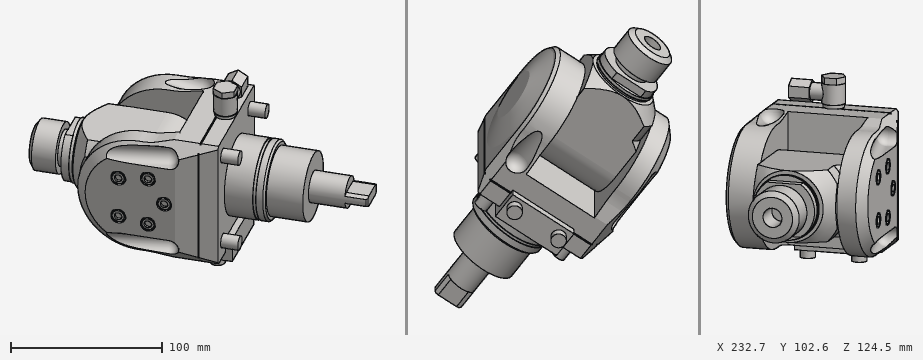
import cadquery as cq
import math


NUT_START, NUT_END = -84.5, -65.1
NUT_RADIUS, NUT_FACE_RADIUS, NUT_BEVEL_LENGTH = 17.7, 14.0, 2.8
COLLET_BORE_RADIUS, COLLET_BORE_DEPTH = 6.5, 18.5
NECK_RADIUS = 12.5
COLLAR_START, COLLAR_END, COLLAR_RADIUS, COLLAR_HALF_FLATS = -60.3, -54.7, 21.5, 18.0
SEAL_END, SEAL_RADIUS = -52.3, 22.0
STUB_RADIUS = 21.5

BLOCK_START, BLOCK_HALF_HEIGHT = -51.0, 24.5
BLOCK_CORNER_RADIUS, BLOCK_CORNER_END = 34.5, -27.7

ARM_NOSE_RADIUS = 41.9
FORK_HALF_HEIGHT = 45.4
SHOULDER_START, SHOULDER_END = 3.3, 24.0
SHOULDER_BLEND_LENGTH, SHOULDER_BLEND_RISE = 8.1, 0.7
FORK_BACK = 54.5
FRONT_FACE, REAR_FACE = -50.3, 46.8
BEVEL_SUM = 86.3
FRONT_FACE_HALF_HEIGHT = 35.0
SLOPE_START, BACK_HALF_WIDTH = 27.2, 42.5
SLOT_FRONT, SLOT_REAR, SLOT_BACK = -31.0, 24.5, 24.7
CAP_RADIUS, CAP_TOP_RADIUS, CAP_TOP = 38.0, 18.1, 52.3
SEAM_START, SEAM_WIDTH, SEAM_HALF_Y, SEAM_HALF_Z = 41.6, 0.7, 45.4, 44.7

POCKET_TILT = 12.0
POCKET_BACK, POCKET_LENGTH, POCKET_WALL_HEIGHT, POCKET_OFFSET = 28.5, 93.0, 18.5, 34.2
SIDE_POCKET_RADIUS, SIDE_POCKET_START, SIDE_POCKET_SURFACE = 6.7, -18.1, 47.0
TOP_POCKET_RADIUS, TOP_POCKET_START, TOP_POCKET_SURFACE = 8.0, -5.1, 41.9

COVER_SCREWS = [(-12.0, 14.7), (-12.0, -14.7), (8.4, 17.5), (8.4, -17.5), (19.5, 0)]
COVER_BORE_RADIUS, COVER_HEAD_RADIUS, COVER_SOCKET_RADIUS = 5.1, 4.2, 2.5
COVER_RECESS_DEPTH = 1.9

SHANK_RADIUS, SHANK_GROOVE_RADIUS = 27.7, 27.0
GROOVE_START, GROOVE_END = 74.0, 76.0
SHANK_END, SHANK_BEVEL = 82.4, 1.5
PILOT_RADIUS, PILOT_END = 24.0, 107.5
DRIVE_RADIUS, DRIVE_END = 11.0, 132.5
TANG_END, TANG_HALF_THICKNESS, TANG_HALF_FLAT = 148.2, 4.0, 7.5
TANG_EDGE_HALF_THICKNESS, TANG_TIP_BEVEL = 2.5, 1.0

BOLT_RADIUS, BOLT_END, BOLT_Y, BOLT_Z = 5.0, 66.3, 31.5, 32.8

ELBOW_X, ELBOW_RADIUS, ELBOW_NECK_RADIUS = 47.0, 8.0, 7.2
ELBOW_START, ELBOW_HEX_START, ELBOW_TOP = 48.0, 62.0, 66.3
ELBOW_HEX_RADIUS = 8.4
BRANCH_Z, BRANCH_RADIUS = 55.0, 5.8
BRANCH_NUT_START, BRANCH_NUT_END, BRANCH_NUT_RADIUS = 15.0, 29.3, 7.7

BRACKET_START, BRACKET_END, BRACKET_HALF_WIDTH = 39.3, 59.0, 25.0
BRACKET_BOTTOM, BRACKET_LIP_TOP = -52.0, -35.0
BRACKET_SCREW_RADIUS, BRACKET_SCREW_Y, BRACKET_SCREW_BOTTOM = 5.1, 18.0, -58.2


def revolve_x(profile):
    """Turn a closed (x, radius) profile about the X axis."""
    return cq.Workplane("XY").polyline(profile).close().revolve(360, (0, 0, 0), (1, 0, 0))


def rod_x(start, end, radius, y=0, z=0):
    return cq.Workplane("YZ", origin=(start, y, z)).circle(radius).extrude(end - start)


def rod_z(start, end, radius, x=0, y=0):
    return cq.Workplane("XY", origin=(x, y, start)).circle(radius).extrude(end - start)


def box_between(x0, x1, y0, y1, z0, z1):
    return cq.Workplane("XY").box(x1 - x0, y1 - y0, z1 - z0, centered=False).translate((x0, y0, z0))


def make_nose():
    """Collet nut, neck, flatted collar and seal ring."""
    nut = revolve_x([
        (NUT_START, 0),
        (NUT_START, NUT_FACE_RADIUS),
        (NUT_START + NUT_BEVEL_LENGTH, NUT_RADIUS),
        (NUT_END, NUT_RADIUS),
        (NUT_END, NECK_RADIUS),
        (COLLAR_START, NECK_RADIUS),
        (COLLAR_START, 0),
    ])
    nut = nut.cut(rod_x(NUT_START, NUT_START + COLLET_BORE_DEPTH, COLLET_BORE_RADIUS))
    collar = rod_x(COLLAR_START, COLLAR_END, COLLAR_RADIUS).intersect(
        box_between(COLLAR_START, COLLAR_END, -COLLAR_RADIUS, COLLAR_RADIUS,
                    -COLLAR_HALF_FLATS, COLLAR_HALF_FLATS))
    seal = rod_x(COLLAR_END, SEAL_END, SEAL_RADIUS)
    stub = rod_x(SEAL_END, BLOCK_START, STUB_RADIUS)
    return nut.union(collar).union(seal).union(stub)


def make_block():
    """Square block with a round tail, its front corners turned about the spindle axis."""
    half = BLOCK_HALF_HEIGHT
    body = (
        cq.Workplane("XZ", origin=(0, SLOT_REAR, 0))
        .moveTo(BLOCK_START, half)
        .lineTo(0, half)
        .threePointArc((SLOT_BACK, 0), (0, -half))
        .lineTo(BLOCK_START, -half)
        .close()
        .extrude(SLOT_REAR - SLOT_FRONT)
    )
    clear_radius = SLOT_BACK - SLOT_FRONT
    cone_length = BLOCK_CORNER_RADIUS - half
    turned = revolve_x([
        (BLOCK_START, 0),
        (BLOCK_START, half),
        (BLOCK_START + cone_length, BLOCK_CORNER_RADIUS),
        (BLOCK_CORNER_END, BLOCK_CORNER_RADIUS),
        (BLOCK_CORNER_END + clear_radius - BLOCK_CORNER_RADIUS, clear_radius),
        (SLOT_BACK + 2.3, clear_radius),
        (SLOT_BACK + 2.3, 0),
    ])
    return body.intersect(turned)


def make_fork_envelope():
    """Bevelled cross-section, turned about the pivot in front and straight behind it."""
    half_section = [
        (0, FRONT_FACE),
        (FRONT_FACE_HALF_HEIGHT, FRONT_FACE),
        (FORK_HALF_HEIGHT, FORK_HALF_HEIGHT - BEVEL_SUM),
        (FORK_HALF_HEIGHT, BEVEL_SUM - FORK_HALF_HEIGHT),
        (BEVEL_SUM - REAR_FACE, REAR_FACE),
        (0, REAR_FACE),
    ]
    turned = cq.Workplane("XY").polyline(half_section).close().revolve(360, (0, 0, 0), (0, 1, 0))
    upper = [(y, height) for height, y in half_section]
    lower = [(y, -height) for y, height in reversed(upper[1:-1])]
    straight = cq.Workplane("YZ").polyline(upper[1:-1] + lower).close().extrude(FORK_BACK)
    return turned.union(straight)


def make_fork():
    blend_end = SHOULDER_START + SHOULDER_BLEND_LENGTH
    blend_middle = SHOULDER_START + SHOULDER_BLEND_LENGTH / 2
    upper_half = (
        cq.Workplane("XZ", origin=(0, REAR_FACE, 0))
        .moveTo(-ARM_NOSE_RADIUS, 0)
        .threePointArc(
            (-ARM_NOSE_RADIUS * math.sqrt(0.5), ARM_NOSE_RADIUS * math.sqrt(0.5)),
            (0, ARM_NOSE_RADIUS))
        .lineTo(SHOULDER_START, ARM_NOSE_RADIUS)
        .threePointArc(
            (blend_middle, ARM_NOSE_RADIUS + SHOULDER_BLEND_RISE / 4),
            (blend_end, ARM_NOSE_RADIUS + SHOULDER_BLEND_RISE))
        .lineTo(SHOULDER_END, FORK_HALF_HEIGHT)
        .lineTo(FORK_BACK, FORK_HALF_HEIGHT)
        .lineTo(FORK_BACK, 0)
        .close()
        .extrude(REAR_FACE - FRONT_FACE)
    )
    side_outline = upper_half.union(upper_half.mirror("XY"))
    tapered_plan = (
        cq.Workplane("XY", origin=(0, 0, -FORK_HALF_HEIGHT))
        .polyline([
            (-ARM_NOSE_RADIUS, FRONT_FACE),
            (SLOPE_START, FRONT_FACE),
            (FORK_BACK, -BACK_HALF_WIDTH),
            (FORK_BACK, BACK_HALF_WIDTH),
            (SLOPE_START, -FRONT_FACE),
            (-ARM_NOSE_RADIUS, -FRONT_FACE),
        ])
        .close()
        .extrude(2 * FORK_HALF_HEIGHT)
    )
    cap = (
        cq.Workplane("XY")
        .polyline([(0, REAR_FACE), (CAP_RADIUS, REAR_FACE), (CAP_TOP_RADIUS, CAP_TOP), (0, CAP_TOP)])
        .close()
        .revolve(360, (0, 0, 0), (0, 1, 0))
    )
    slot = box_between(-ARM_NOSE_RADIUS - 2.3, SLOT_BACK, SLOT_FRONT, SLOT_REAR,
                       -FORK_HALF_HEIGHT, FORK_HALF_HEIGHT)
    return side_outline.intersect(make_fork_envelope()).intersect(tapered_plan).union(cap).cut(slot)


def cut_seam(body):
    """Narrow groove around the base of the fork, on its sides, top and bottom."""
    seam_end = SEAM_START + SEAM_WIDTH
    slab = box_between(SEAM_START, seam_end, FRONT_FACE, -FRONT_FACE,
                       -FORK_HALF_HEIGHT, FORK_HALF_HEIGHT)
    core = box_between(SEAM_START, seam_end, -SEAM_HALF_Y, SEAM_HALF_Y, -SEAM_HALF_Z, SEAM_HALF_Z)
    return body.cut(slab.cut(core))


def make_pocket(radius, start, surface):
    """Ball-ended, straight-walled trough along X, sinking below height `surface` behind `start`."""
    ball_x = POCKET_BACK - radius
    ball_floor = surface - (ball_x - start) * math.tan(math.radians(POCKET_TILT))
    walls = (
        cq.Workplane("XY")
        .moveTo(-POCKET_LENGTH, radius)
        .lineTo(0, radius)
        .threePointArc((radius, 0), (0, -radius))
        .lineTo(-POCKET_LENGTH, -radius)
        .close()
        .extrude(POCKET_WALL_HEIGHT)
    )
    return (
        rod_x(-POCKET_LENGTH, 0, radius)
        .union(cq.Workplane("XY").sphere(radius))
        .union(walls)
        .rotate((0, 0, 0), (0, 1, 0), POCKET_TILT)
        .translate((ball_x, 0, ball_floor + radius))
    )


def cut_pockets(body):
    """Front arm pockets open sideways, rear arm pockets open up and down."""
    side = (
        make_pocket(SIDE_POCKET_RADIUS, SIDE_POCKET_START, SIDE_POCKET_SURFACE)
        .rotate((0, 0, 0), (1, 0, 0), 90)
        .translate((0, 0, POCKET_OFFSET))
    )
    top = make_pocket(TOP_POCKET_RADIUS, TOP_POCKET_START, TOP_POCKET_SURFACE)
    top = top.translate((0, POCKET_OFFSET, 0))
    for pocket in (side, top):
        body = body.cut(pocket).cut(pocket.mirror("XY"))
    return body


def cut_cover_screws(body):
    """Each sunk screw head leaves a ring gap and a socket."""
    recess = (
        cq.Workplane("XZ", origin=(0, FRONT_FACE, 0))
        .pushPoints(COVER_SCREWS)
        .circle(COVER_BORE_RADIUS)
        .circle(COVER_HEAD_RADIUS)
        .extrude(-COVER_RECESS_DEPTH)
    )
    sockets = (
        cq.Workplane("XZ", origin=(0, FRONT_FACE, 0))
        .pushPoints(COVER_SCREWS)
        .circle(COVER_SOCKET_RADIUS)
        .extrude(-COVER_RECESS_DEPTH)
    )
    return body.cut(recess).cut(sockets)


def make_shank():
    shank = revolve_x([
        (FORK_BACK, 0),
        (FORK_BACK, SHANK_RADIUS),
        (GROOVE_START, SHANK_RADIUS),
        (GROOVE_START, SHANK_GROOVE_RADIUS),
        (GROOVE_END, SHANK_GROOVE_RADIUS),
        (GROOVE_END, SHANK_RADIUS),
        (SHANK_END - SHANK_BEVEL, SHANK_RADIUS),
        (SHANK_END, SHANK_RADIUS - SHANK_BEVEL),
        (SHANK_END, PILOT_RADIUS),
        (PILOT_END, PILOT_RADIUS),
        (PILOT_END, DRIVE_RADIUS),
        (DRIVE_END, DRIVE_RADIUS),
        (DRIVE_END, 0),
    ])
    flat, edge = TANG_HALF_FLAT, TANG_EDGE_HALF_THICKNESS
    tang = (
        cq.Workplane("YZ", origin=(DRIVE_END, 0, 0))
        .polyline([
            (-flat, TANG_HALF_THICKNESS),
            (flat, TANG_HALF_THICKNESS),
            (DRIVE_RADIUS, edge),
            (DRIVE_RADIUS, -edge),
            (flat, -TANG_HALF_THICKNESS),
            (-flat, -TANG_HALF_THICKNESS),
            (-DRIVE_RADIUS, -edge),
            (-DRIVE_RADIUS, edge),
        ])
        .close()
        .extrude(TANG_END - DRIVE_END)
    )
    tang_round = rod_x(DRIVE_END, TANG_END, DRIVE_RADIUS).faces(">X").chamfer(TANG_TIP_BEVEL)
    return shank.union(tang.intersect(tang_round))


def make_elbow():
    """Upright coolant fitting with a hexagon top and a side branch ending in a nut."""
    neck = rod_z(FORK_HALF_HEIGHT, ELBOW_START, ELBOW_NECK_RADIUS, ELBOW_X)
    barrel = rod_z(ELBOW_START, ELBOW_HEX_START, ELBOW_RADIUS, ELBOW_X)
    top = (
        cq.Workplane("XY", origin=(ELBOW_X, 0, ELBOW_HEX_START))
        .polygon(6, 2 * ELBOW_HEX_RADIUS)
        .extrude(ELBOW_TOP - ELBOW_HEX_START)
        .rotate((ELBOW_X, 0, 0), (ELBOW_X, 0, 1), 30)
    )
    branch = (
        cq.Workplane("XZ", origin=(ELBOW_X, 0, BRANCH_Z))
        .circle(BRANCH_RADIUS)
        .extrude(-BRANCH_NUT_START)
    )
    nut = (
        cq.Workplane("XZ", origin=(ELBOW_X, BRANCH_NUT_START, BRANCH_Z))
        .polygon(6, 2 * BRANCH_NUT_RADIUS)
        .extrude(BRANCH_NUT_START - BRANCH_NUT_END)
        .rotate((ELBOW_X, 0, BRANCH_Z), (ELBOW_X, 1, BRANCH_Z), 30)
    )
    return neck.union(barrel).union(top).union(branch).union(nut)


def make_bracket():
    """L-shaped locating bracket under the fork with two screws."""
    foot = box_between(BRACKET_START, BRACKET_END, -BRACKET_HALF_WIDTH, BRACKET_HALF_WIDTH,
                       BRACKET_BOTTOM, -FORK_HALF_HEIGHT)
    lip = box_between(FORK_BACK, BRACKET_END, -BRACKET_HALF_WIDTH, BRACKET_HALF_WIDTH,
                      -FORK_HALF_HEIGHT, BRACKET_LIP_TOP)
    bracket = foot.union(lip)
    for y in (-BRACKET_SCREW_Y, BRACKET_SCREW_Y):
        bracket = bracket.union(
            rod_z(BRACKET_SCREW_BOTTOM, BRACKET_BOTTOM, BRACKET_SCREW_RADIUS, ELBOW_X, y))
    return bracket


result = cut_cover_screws(cut_pockets(cut_seam(make_fork())))
result = result.union(make_block()).union(make_nose()).union(make_shank())
for bolt_y in (-BOLT_Y, BOLT_Y):
    for bolt_z in (-BOLT_Z, BOLT_Z):
        result = result.union(rod_x(FORK_BACK, BOLT_END, BOLT_RADIUS, bolt_y, bolt_z))
result = result.union(make_elbow()).union(make_bracket())